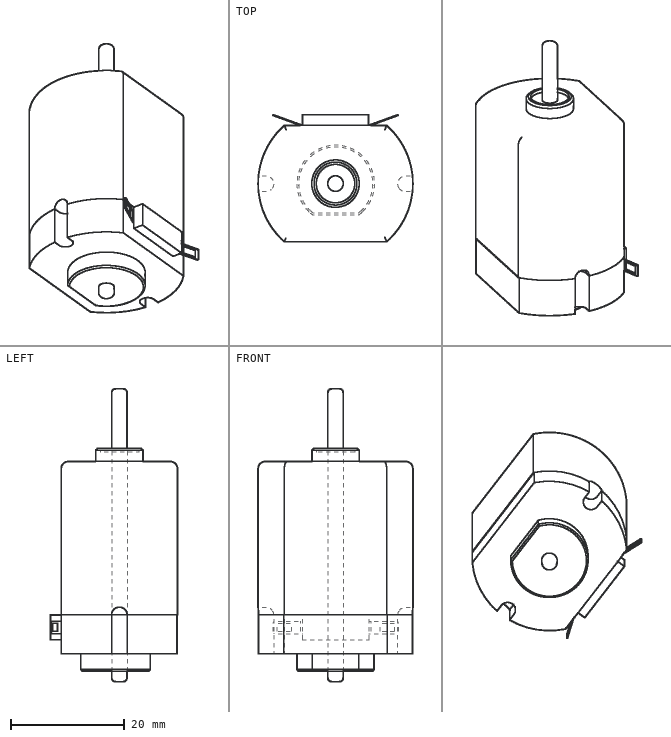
import cadquery as cq


BODY_RADIUS = 13.705
FLAT_Y = 10.3
CAP_FRONT_FLAT_Y = 10.2

CAN_HEIGHT = 27.15
CAN_FILLET = 1.3
BEARING_RADIUS = 4.2
BEARING_HEIGHT = 2.35
BEARING_CHAMFER = 0.4
RECESS_RADIUS = 3.4
RECESS_DEPTH = 0.65

CAP_HEIGHT = 6.9
REAR_BOSS_RADIUS = 6.85
REAR_BOSS_FLAT_Y = 5.5
REAR_BOSS_HEIGHT = 3.05
REAR_BOSS_CHAMFER = 0.3

BLOCK_WIDTH = 11.75
TOTAL_DEPTH = 22.49
BLOCK_TOP_Y = TOTAL_DEPTH - FLAT_Y
BLOCK_HEIGHT = 4.4
TERMINAL_ANGLE = 20.0
TERMINAL_ROOT_X = 6.05
TERMINAL_LENGTH = 5.3
TERMINAL_EMBED = 1.0
TERMINAL_WIDTH = 2.2
TERMINAL_THICKNESS = 0.15
TERMINAL_CORNER_RADIUS = 0.3
SLOT_LENGTH = 2.7
SLOT_WIDTH = 1.45
SLOT_TIP_MARGIN = 0.7

SHAFT_RADIUS = 1.375
SHAFT_FILLET = 0.7
SHAFT_FRONT_LENGTH = 10.5
SHAFT_TOTAL_LENGTH = 51.82

GROOVE_RADIUS = 1.375
GROOVE_AXIS_X = BODY_RADIUS - GROOVE_RADIUS

SHAFT_TOP_Z = CAN_HEIGHT + BEARING_HEIGHT + SHAFT_FRONT_LENGTH
SHAFT_BOTTOM_Z = SHAFT_TOP_Z - SHAFT_TOTAL_LENGTH


def flatted_disc(radius, front_y, back_y, bottom_z, height):
    """Disc whose sides are cut flat at Y = -front_y and Y = back_y."""
    disc = cq.Workplane("XY").workplane(offset=bottom_z).circle(radius).extrude(height)
    window = (
        cq.Workplane("XY")
        .workplane(offset=bottom_z)
        .center(0, (back_y - front_y) / 2)
        .rect(2 * radius, front_y + back_y)
        .extrude(height)
    )
    return disc.intersect(window)


def side_groove(side):
    """Cutter for one groove: open at the cap bottom, with a domed top inside the can."""
    axis_x = side * GROOVE_AXIS_X
    channel = (
        cq.Workplane("XY")
        .workplane(offset=-CAP_HEIGHT)
        .center(side * BODY_RADIUS, 0)
        .slot2D(4 * GROOVE_RADIUS, 2 * GROOVE_RADIUS)
        .extrude(CAP_HEIGHT)
    )
    arch = (
        cq.Workplane("YZ", origin=(axis_x, 0, 0))
        .circle(GROOVE_RADIUS)
        .extrude(side * 2 * GROOVE_RADIUS)
    )
    dome = cq.Workplane("XY").sphere(GROOVE_RADIUS).translate((axis_x, 0, 0))
    return channel.union(arch).union(dome)


def make_shaft():
    return (
        cq.Workplane("XY")
        .workplane(offset=SHAFT_BOTTOM_Z)
        .circle(SHAFT_RADIUS)
        .extrude(SHAFT_TOTAL_LENGTH)
        .faces("<Z or >Z")
        .edges()
        .fillet(SHAFT_FILLET)
    )


def make_bearing_seat():
    """Round collar on the can's end face, with a shallow recess round the shaft."""
    collar = (
        cq.Workplane("XY")
        .workplane(offset=CAN_HEIGHT)
        .circle(BEARING_RADIUS)
        .extrude(BEARING_HEIGHT)
        .faces(">Z")
        .chamfer(BEARING_CHAMFER)
    )
    return collar.faces(">Z").workplane().circle(RECESS_RADIUS).cutBlind(-RECESS_DEPTH)


def make_can(shaft):
    shell = flatted_disc(BODY_RADIUS, FLAT_Y, FLAT_Y, 0, CAN_HEIGHT)
    shell = shell.faces(">Z").edges().fillet(CAN_FILLET)
    can = shell.union(make_bearing_seat())
    for side in (-1, 1):
        can = can.cut(side_groove(side))
    return can.cut(shaft)


def terminal(side):
    """Thin slotted tab leaving the cap's back flat at an angle."""
    tab = (
        cq.Workplane("XY")
        .box(
            TERMINAL_EMBED + TERMINAL_LENGTH,
            TERMINAL_THICKNESS,
            TERMINAL_WIDTH,
            centered=(False, True, True),
        )
        .translate((-TERMINAL_EMBED, 0, 0))
        .faces(">X")
        .edges("|Y")
        .fillet(TERMINAL_CORNER_RADIUS)
    )
    slot_centre = TERMINAL_LENGTH - SLOT_TIP_MARGIN - SLOT_LENGTH / 2
    slot = (
        cq.Workplane("XY")
        .box(SLOT_LENGTH, 2 * TERMINAL_THICKNESS, SLOT_WIDTH)
        .translate((slot_centre, 0, 0))
    )
    tab = (
        tab.cut(slot)
        .rotate((0, 0, 0), (0, 0, 1), TERMINAL_ANGLE)
        .translate((TERMINAL_ROOT_X, FLAT_Y, -BLOCK_HEIGHT / 2))
    )
    return tab if side > 0 else tab.mirror("YZ")


def make_cap(shaft):
    cap = flatted_disc(BODY_RADIUS, CAP_FRONT_FLAT_Y, FLAT_Y, -CAP_HEIGHT, CAP_HEIGHT)
    block = (
        cq.Workplane("XY")
        .workplane(offset=-BLOCK_HEIGHT)
        .center(0, BLOCK_TOP_Y / 2)
        .rect(BLOCK_WIDTH, BLOCK_TOP_Y)
        .extrude(BLOCK_HEIGHT)
    )
    rear_boss = flatted_disc(
        REAR_BOSS_RADIUS,
        REAR_BOSS_FLAT_Y,
        REAR_BOSS_RADIUS,
        -CAP_HEIGHT - REAR_BOSS_HEIGHT,
        REAR_BOSS_HEIGHT,
    )
    rear_boss = rear_boss.faces("<Z").chamfer(REAR_BOSS_CHAMFER)
    cap = cap.union(block).union(rear_boss)
    for side in (-1, 1):
        cap = cap.union(terminal(side)).cut(side_groove(side))
    return cap.cut(shaft)


shaft = make_shaft()
can = make_can(shaft)
cap = make_cap(shaft)

result = cq.Compound.makeCompound([body.solids().val() for body in (can, cap, shaft)])